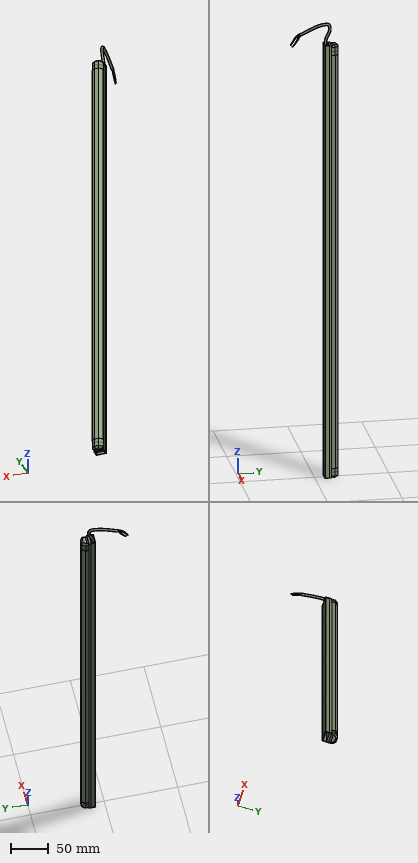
import cadquery as cq

OVERALL_DEPTH = 63.0
OVERALL_HEIGHT = 637.0
LAMP_LENGTH = 609.0
BACK_Y = OVERALL_DEPTH / 2
BOTTOM_Z = -OVERALL_HEIGHT / 2
TOP_Z = BOTTOM_Z + LAMP_LENGTH

CHANNEL_WIDTH = 14.0
CHANNEL_DEPTH = 9.0
CHANNEL_WALL = 0.95
CAVITY_DEPTH = 5.0

LENS_DEPTH = 9.5
BACK_FLAT_WIDTH = 5.85
RIDGE_OVERHANG = 0.75
LENS_RIDGE_DROP = 4.5
CAP_RIDGE_DROP = 5.2
SHOULDER_BULGE = 0.7
RIDGE_HALF_WIDTH = CHANNEL_WIDTH / 2 + RIDGE_OVERHANG

CHANNEL_BACK_Y = BACK_Y - LENS_DEPTH
CHANNEL_FRONT_Y = CHANNEL_BACK_Y - CHANNEL_DEPTH
CAVITY_MIDDLE_Y = CHANNEL_FRONT_Y + CHANNEL_WALL + CAVITY_DEPTH / 2

COLLAR_LENGTH = 5.4
TIP_LENGTH = 6.0
RIM_LENGTH = 2.5
CAP_LENGTH = COLLAR_LENGTH + TIP_LENGTH + RIM_LENGTH
TIP_TAPER_DEGREES = 0.4
RIM_SLOPE_DEGREES = 45

CABLE_X = -4.15
CABLE_DIAMETER = 3.5
CABLE_INSERTION = 2.5
CABLE_PATH = [
    (CAVITY_MIDDLE_Y, TOP_Z - CABLE_INSERTION),
    (17.0, 298.0),
    (21.5, 311.0),
    (20.0, 316.0),
    (14.5, 317.0),
    (4.0, 314.0),
    (-7.5, 309.0),
    (-18.5, 304.0),
]

INSULATION_DIAMETER = 1.6
CORE_DIAMETER = 1.2
TIP_DIAMETER = 0.95
WIRE_SPACING = 1.8
LOWER_WIRE_ENDS = [(-21.5, 297.5), (-25.0, 292.5), (-28.5, 288.0)]
UPPER_WIRE_ENDS = [(-27.0, 297.5), (-30.0, 292.5), (-31.0, 290.5)]


def lens_outline(z, ridge_drop):
    """Outline at height z, with its widest point ridge_drop in front of the back face."""
    half_flat = BACK_FLAT_WIDTH / 2
    half_channel = CHANNEL_WIDTH / 2
    ridge_y = BACK_Y - ridge_drop
    shoulder = cq.Vector(RIDGE_HALF_WIDTH - half_flat, -ridge_drop)
    outward = cq.Vector(ridge_drop, shoulder.x).normalized() * SHOULDER_BULGE
    bulge = cq.Vector(half_flat, BACK_Y) + shoulder * 0.5 + outward
    return (
        cq.Workplane("XY", origin=(0, 0, z))
        .moveTo(-half_flat, BACK_Y)
        .lineTo(half_flat, BACK_Y)
        .threePointArc((bulge.x, bulge.y), (RIDGE_HALF_WIDTH, ridge_y))
        .lineTo(half_channel, CHANNEL_BACK_Y)
        .lineTo(-half_channel, CHANNEL_BACK_Y)
        .lineTo(-RIDGE_HALF_WIDTH, ridge_y)
        .threePointArc((-bulge.x, bulge.y), (-half_flat, BACK_Y))
        .close()
    )


def make_lens():
    outline = lens_outline(BOTTOM_Z + CAP_LENGTH, LENS_RIDGE_DROP)
    return outline.extrude(LAMP_LENGTH - 2 * CAP_LENGTH)


def make_top_cap():
    collar_z = TOP_Z - CAP_LENGTH
    tip_z = collar_z + COLLAR_LENGTH
    collar = lens_outline(collar_z, CAP_RIDGE_DROP).extrude(COLLAR_LENGTH)
    tip = lens_outline(tip_z, CAP_RIDGE_DROP).extrude(TIP_LENGTH, taper=TIP_TAPER_DEGREES)
    rim_outline = tip.faces(">Z").wires().toPending()
    rim = rim_outline.extrude(RIM_LENGTH, combine=False, taper=RIM_SLOPE_DEGREES)
    return collar.union(tip).union(rim)


def make_bottom_cap():
    lamp_middle = (0, 0, BOTTOM_Z + LAMP_LENGTH / 2)
    return make_top_cap().mirror("XY", basePointVector=lamp_middle)


def channel_bar(middle_y, width, depth):
    """Rectangular bar over the whole lamp length."""
    outline = cq.Workplane("XY", origin=(0, middle_y, BOTTOM_Z)).rect(width, depth)
    return outline.extrude(LAMP_LENGTH)


def make_channel():
    body = channel_bar(CHANNEL_FRONT_Y + CHANNEL_DEPTH / 2, CHANNEL_WIDTH, CHANNEL_DEPTH)
    cavity = channel_bar(CAVITY_MIDDLE_Y, CHANNEL_WIDTH - 2 * CHANNEL_WALL, CAVITY_DEPTH)
    return body.cut(cavity)


def cable_point(y, z):
    return cq.Vector(CABLE_X, y, z)


def round_rod(path, diameter):
    """Round bar along an edge, square to it at its start."""
    plane = cq.Plane(path.startPoint(), xDir=(1, 0, 0), normal=path.tangentAt(0))
    wire = cq.Wire.assembleEdges([path])
    return cq.Workplane(plane).circle(diameter / 2).sweep(cq.Workplane(wire))


def make_wire(cable_path, side, ends):
    """Insulated wire that leaves the cable end and thins in two steps; side is +1 or -1."""
    direction = cable_path.tangentAt(1)
    across = cq.Vector(1, 0, 0).cross(direction)
    start = cable_path.endPoint() + across * (side * WIRE_SPACING / 2)
    insulation_end, core_end, tip_end = [cable_point(y, z) for y, z in ends]
    core_direction = (core_end - insulation_end).normalized()
    insulation_path = cq.Edge.makeSpline(
        [start, insulation_end], tangents=[direction, core_direction]
    )
    core_path = cq.Edge.makeLine(insulation_end, core_end)
    tip_path = cq.Edge.makeLine(core_end, tip_end)
    insulation = round_rod(insulation_path, INSULATION_DIAMETER)
    core = round_rod(core_path, CORE_DIAMETER)
    tip = round_rod(tip_path, TIP_DIAMETER)
    return insulation.union(core).union(tip)


lens = make_lens()
end_caps = [make_top_cap(), make_bottom_cap()]
channel = make_channel()
cable_path = cq.Edge.makeSpline([cable_point(y, z) for y, z in CABLE_PATH])
cable = round_rod(cable_path, CABLE_DIAMETER)
wires = [
    make_wire(cable_path, side, ends)
    for side, ends in [(1, LOWER_WIRE_ENDS), (-1, UPPER_WIRE_ENDS)]
]

bodies = [lens, *end_caps, channel, cable, *wires]
result = cq.Compound.makeCompound([body.solids().val() for body in bodies])